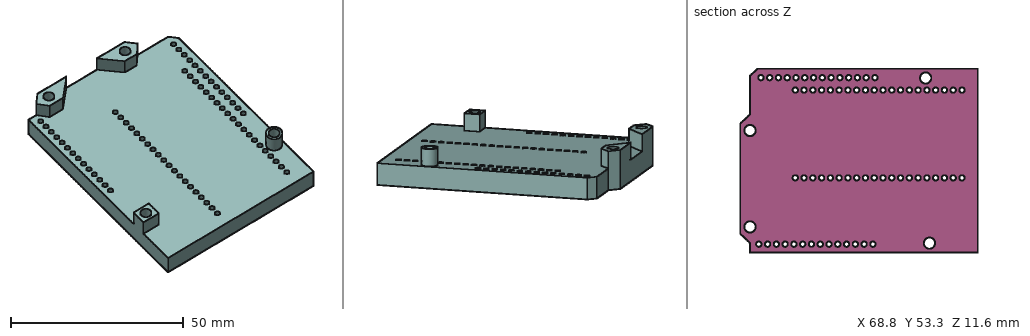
import cadquery as cq

length = 68.8
width = 53.3
total_height = 11.6
base_height = 6.5

step = 2.8
corner_x = 2.3
corner_y = 2.1

mount_diameter = 3.2
left_hole_x = 2.85
lower_hole_y = 7.45
left_hole_spacing = 27.9
upper_hole_y = lower_hole_y + left_hole_spacing
round_post_x = 53.7
round_post_y = 50.55
square_post_hole_x = 54.8
square_post_hole_y = 2.75

left_post_depth = 5.8
tip_offset = 4.65
outer_shoulder_offset = 2.0
upper_inner_shoulder_offset = 2.4
lower_inner_shoulder_offset = 2.85
taper_length = left_post_depth

round_post_diameter = 4.74
square_post_left = 52.5
square_post_length = 4.7
square_post_width = 5.6

pin_diameter = 1.5
pin_pitch = 2.54
header_pin_count = 14
socket_pin_count = 20
upper_header_start = (6.0, 50.65)
lower_header_start = (5.4, 2.45)
socket_start_x = 15.95
lower_socket_y = 21.65
socket_row_spacing = 25.4


def base_plate():
    """Plate with a stepped left edge and one bevelled corner."""
    lower_tip_y = lower_hole_y - tip_offset
    upper_tip_y = upper_hole_y + tip_offset
    outline = [
        (step, 0),
        (length, 0),
        (length, width),
        (step + corner_x, width),
        (step, width - corner_y),
        (step, upper_tip_y),
        (0, upper_hole_y + outer_shoulder_offset),
        (0, lower_hole_y - outer_shoulder_offset),
        (step, lower_tip_y),
    ]
    return cq.Workplane("XY").polyline(outline).close().extrude(base_height)


def left_post(hole_y, outward, inner_shoulder_offset):
    """Post around a left hole; outward is +1 or -1, the Y direction of its tip."""
    outline = [
        (step, hole_y + outward * tip_offset),
        (left_post_depth, hole_y + outward * outer_shoulder_offset),
        (left_post_depth, hole_y - outward * inner_shoulder_offset),
        (0, hole_y - outward * (inner_shoulder_offset + taper_length)),
        (0, hole_y + outward * outer_shoulder_offset),
    ]
    return cq.Workplane("XY").polyline(outline).close().extrude(total_height)


def round_post():
    return (
        cq.Workplane("XY")
        .center(round_post_x, round_post_y)
        .circle(round_post_diameter / 2)
        .extrude(total_height)
    )


def square_post():
    return (
        cq.Workplane("XY")
        .box(square_post_length, square_post_width, total_height, centered=False)
        .translate((square_post_left, 0, 0))
    )


def through_holes(centers, diameter):
    return cq.Workplane("XY").pushPoints(centers).circle(diameter / 2).extrude(total_height)


def pin_row(start_x, row_y, count):
    centers = [(start_x + index * pin_pitch, row_y) for index in range(count)]
    return through_holes(centers, pin_diameter)


mount_centers = [
    (left_hole_x, lower_hole_y),
    (left_hole_x, upper_hole_y),
    (round_post_x, round_post_y),
    (square_post_hole_x, square_post_hole_y),
]

body = (
    base_plate()
    .union(left_post(upper_hole_y, 1, upper_inner_shoulder_offset))
    .union(left_post(lower_hole_y, -1, lower_inner_shoulder_offset))
    .union(round_post())
    .union(square_post())
)

body = body.cut(through_holes(mount_centers, mount_diameter))
for header_x, header_y in (upper_header_start, lower_header_start):
    body = body.cut(pin_row(header_x, header_y, header_pin_count))
for socket_y in (lower_socket_y, lower_socket_y + socket_row_spacing):
    body = body.cut(pin_row(socket_start_x, socket_y, socket_pin_count))

result = body